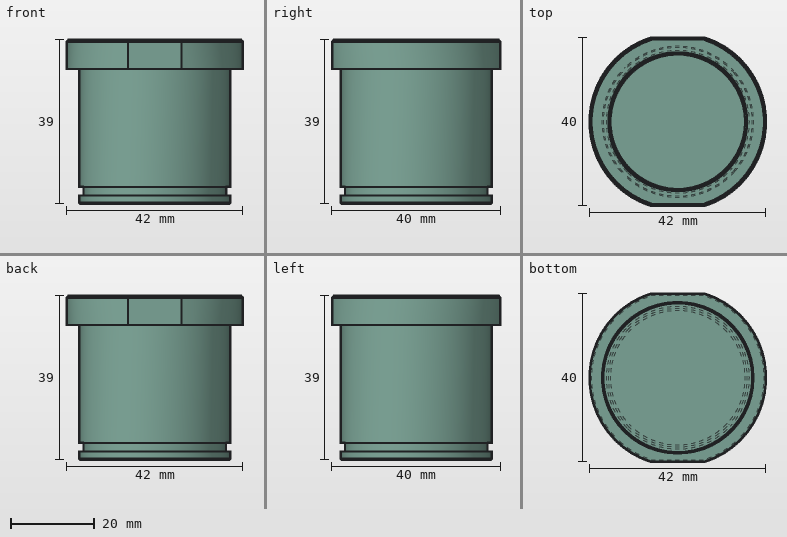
import cadquery as cq

total_height = 39.0
body_diameter = 36.0
body_foot_chamfer = 0.3

flange_diameter = 42.0
flange_thickness = 7.0
flange_across_flats = 40.0
flange_chamfer = 0.5

groove_diameter = 34.0
groove_width = 2.0
groove_height_above_foot = 2.0

recess_floor_diameter = 32.0
recess_depth = 0.5


def make_body():
    """Cylindrical shank, standing on Z = 0 with a chamfered foot."""
    body_height = total_height - flange_thickness
    body = cq.Workplane("XY").circle(body_diameter / 2).extrude(body_height)
    return body.faces("<Z").chamfer(body_foot_chamfer)


def make_flange():
    """Disc with two flats; the top edge is chamfered all the way round."""
    flange_base = total_height - flange_thickness
    disc = cq.Workplane("XY").workplane(offset=flange_base).circle(flange_diameter / 2)
    disc = disc.extrude(flange_thickness)
    flats_block = cq.Workplane("XY").workplane(offset=flange_base)
    flats_block = flats_block.rect(flange_diameter, flange_across_flats).extrude(flange_thickness)
    return disc.intersect(flats_block).faces(">Z").chamfer(flange_chamfer)


def make_groove_cutter():
    """Ring that leaves the groove diameter standing."""
    base = cq.Workplane("XY").workplane(offset=groove_height_above_foot)
    return base.circle(flange_diameter / 2).circle(groove_diameter / 2).extrude(groove_width)


def make_recess_cutter():
    """Cone frustum widening from the recess floor to the top face."""
    floor_radius = recess_floor_diameter / 2
    rim_radius = floor_radius + recess_depth
    floor_height = total_height - recess_depth
    half_section = cq.Workplane("XZ").moveTo(0, floor_height).lineTo(floor_radius, floor_height)
    half_section = half_section.lineTo(rim_radius, total_height).lineTo(0, total_height).close()
    return half_section.revolve(360, (0, 0, 0), (0, 1, 0))


plug = make_body().union(make_flange())
result = plug.cut(make_groove_cutter()).cut(make_recess_cutter())